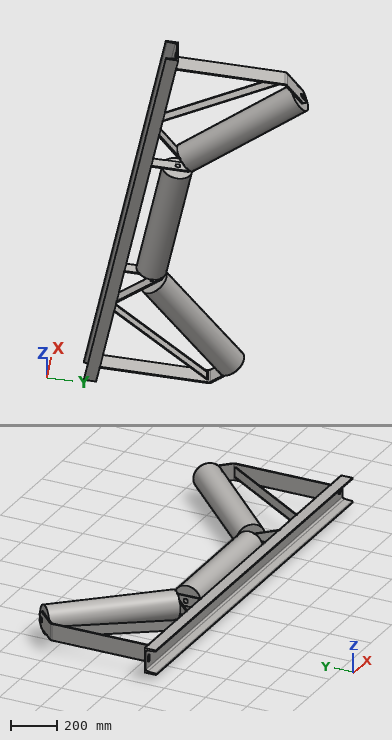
import cadquery as cq
import math


beam_length = 1900.0
beam_height = 120.0
flange_width = 55.0
web_thickness = 6.0
flange_thickness = 9.0
flange_taper = 0.08
root_radius = 9.0
tip_radius = 4.5
mount_slot_inset = 28.0
mount_slot_width = 17.0
mount_slot_height = 35.0

roller_diameter = 133.0
roller_length = 598.0
axle_diameter = 20.0
middle_axis_y = 120.0
inner_axis_z = -19.0
side_axis_offset = 220.0

plate_thickness = 7.0
inner_bend_radius = 10.0
outer_bend_radius = 15.0
inner_plate_height = 50.0
outer_plate_height = 80.0
inner_leg_x = 308.0
inner_top_y = 173.0
inner_foot_x = 494.0
outer_leg_x = 885.0
outer_arm_sum = 1370.0
outer_tip_y = 597.0
outer_tip_chamfer = 25.0
strut_thickness = 4.0
strut_height = 50.0
strut_foot_x = 559.0
strut_top_y = 479.0

SIDES = (-1, 1)
half_diagonal = plate_thickness / math.sqrt(2)


def upright_plate(outline, height, mid_z=0):
    """Extrude an outline in the XY plane, centred on the given height."""
    return cq.Workplane("XY", origin=(0, 0, mid_z - height / 2)).polyline(outline).close().extrude(height)


def round_bend(plate, inside, outside, bend_radius):
    """Round both faces of a plate bend, given its two corner points."""
    for corner, radius in ((inside, bend_radius - plate_thickness), (outside, bend_radius)):
        plate = plate.edges("|Z").edges(cq.NearestToPointSelector((*corner, 0))).fillet(radius)
    return plate


def on_side(body, side):
    """The right-hand body itself, or its mirror image on the left."""
    return body if side > 0 else body.mirror("YZ")


def axis_point(plane_sum, z):
    return cq.Vector((plane_sum + side_axis_offset) / 2, (plane_sum - side_axis_offset) / 2, z)


axis_inner = axis_point(inner_foot_x, inner_axis_z)
axis_outer = axis_point(outer_arm_sum, 0)
side_direction = (axis_outer - axis_inner).normalized()
side_centre = (axis_inner + axis_outer) * 0.5
side_axle_length = (axis_outer - axis_inner).Length + plate_thickness
middle_centre = cq.Vector(0, middle_axis_y, inner_axis_z)
middle_axle_length = 2 * (inner_leg_x + plate_thickness)


def cylinder(centre, direction, diameter, length):
    start = centre - direction * (length / 2)
    plane = cq.Plane(start, cq.Vector(0, 0, 1), direction)
    return cq.Workplane(plane).circle(diameter / 2).extrude(length)


def make_roller(centre, direction, axle_length):
    drum = cylinder(centre, direction, roller_diameter, roller_length)
    return drum.union(cylinder(centre, direction, axle_diameter, axle_length))


def make_beam():
    top = beam_height / 2
    half_run = (flange_width - web_thickness) / 2
    root_z = top - flange_thickness - flange_taper * half_run
    tip_z = top - flange_thickness + flange_taper * half_run
    section = [
        (0, -top), (-flange_width, -top), (-flange_width, -tip_z), (-web_thickness, -root_z),
        (-web_thickness, root_z), (-flange_width, tip_z), (-flange_width, top), (0, top),
    ]
    end_plane = cq.Workplane("YZ", origin=(-beam_length / 2, 0, 0))
    beam = end_plane.polyline(section).close().extrude(beam_length)
    for z in (-root_z, root_z):
        beam = beam.edges(cq.NearestToPointSelector((0, -web_thickness, z))).fillet(root_radius)
    for z in (-tip_z, tip_z):
        beam = beam.edges(cq.NearestToPointSelector((0, -flange_width, z))).fillet(tip_radius)
    slot_x = beam_length / 2 - mount_slot_inset
    slots = (
        cq.Workplane("XZ").pushPoints([(side * slot_x, 0) for side in SIDES])
        .slot2D(mount_slot_height, mount_slot_width, 90).extrude(web_thickness)
    )
    return beam.cut(slots)


def make_inner_bracket():
    """Bent plate: upright leg beside the middle roller and a leg sloping to the beam."""
    under_top = inner_top_y - plate_thickness
    bracket = upright_plate([
        (inner_leg_x, 0), (inner_leg_x, inner_top_y),
        (inner_foot_x + half_diagonal - inner_top_y, inner_top_y), (inner_foot_x + half_diagonal, 0),
        (inner_foot_x - half_diagonal, 0), (inner_foot_x - half_diagonal - under_top, under_top),
        (inner_leg_x + plate_thickness, under_top), (inner_leg_x + plate_thickness, 0),
    ], inner_plate_height, inner_axis_z)
    leg_outside = inner_leg_x + plate_thickness
    bracket = round_bend(bracket, (leg_outside, under_top), (inner_leg_x, inner_top_y), inner_bend_radius)
    bracket = round_bend(
        bracket,
        (inner_foot_x - half_diagonal - under_top, under_top),
        (inner_foot_x + half_diagonal - inner_top_y, inner_top_y),
        inner_bend_radius,
    )
    bracket = bracket.cut(cylinder(middle_centre, cq.Vector(1, 0, 0), axle_diameter, middle_axle_length))
    return bracket.cut(cylinder(side_centre, side_direction, axle_diameter, side_axle_length))


def make_outer_bracket():
    """Bent plate: upright leg and a 45 degree arm with an axle slot open at its tip."""
    outer_sum = outer_arm_sum + half_diagonal
    inner_sum = outer_arm_sum - half_diagonal
    leg_inside = outer_leg_x - plate_thickness
    tip_x = outer_arm_sum - outer_tip_y
    step = half_diagonal / 2
    bracket = upright_plate([
        (outer_leg_x, 0), (outer_leg_x, outer_sum - outer_leg_x),
        (tip_x + step, outer_tip_y + step), (tip_x - step, outer_tip_y - step),
        (leg_inside, inner_sum - leg_inside), (leg_inside, 0),
    ], outer_plate_height)
    bracket = round_bend(
        bracket,
        (leg_inside, inner_sum - leg_inside),
        (outer_leg_x, outer_sum - outer_leg_x),
        outer_bend_radius,
    )
    for z in (-outer_plate_height / 2, outer_plate_height / 2):
        corner = cq.NearestToPointSelector((tip_x, outer_tip_y, z))
        bracket = bracket.edges(corner).chamfer(outer_tip_chamfer)
    slot_length = 2 * roller_diameter
    slot_plane = cq.Plane(axis_outer, cq.Vector(-1, 1, 0), side_direction)
    slot = (
        cq.Workplane(slot_plane).circle(axle_diameter / 2)
        .extrude(plate_thickness, both=True)
        .union(
            cq.Workplane(slot_plane).center(slot_length / 2, 0).rect(slot_length, axle_diameter)
            .extrude(plate_thickness, both=True)
        )
    )
    return bracket.cut(slot)


def make_strut():
    """Thin plate from the beam up to the bend of the outer bracket."""
    leg_inside = outer_leg_x - plate_thickness
    run = leg_inside - strut_foot_x
    half_x = strut_thickness / 2 * math.hypot(run, strut_top_y) / strut_top_y
    half_y = half_x * strut_top_y / run
    return upright_plate([
        (strut_foot_x - half_x, 0), (strut_foot_x + half_x, 0),
        (leg_inside, strut_top_y - half_y), (leg_inside, strut_top_y + half_y),
    ], strut_height)


beam = make_beam()
middle_roller = make_roller(middle_centre, cq.Vector(1, 0, 0), middle_axle_length)

bodies = [beam.val(), middle_roller.val()]
for side in SIDES:
    side_roller = make_roller(side_centre, side_direction, side_axle_length)
    for body in (side_roller, make_inner_bracket(), make_outer_bracket(), make_strut()):
        bodies.append(on_side(body, side).val())

result = cq.Compound.makeCompound(bodies)